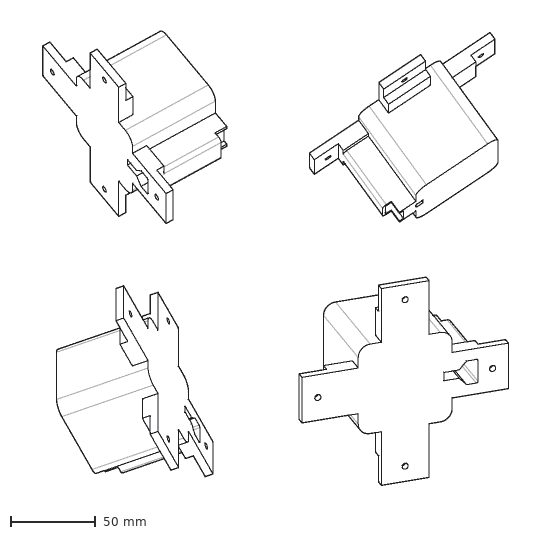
import cadquery as cq

span = 129.6
depth = 59.0
body_side = 59.0
body_corner_radius = 7.5

arm_width = 30.1
arm_thickness = 5.0
root_thickness = 2 * arm_thickness
root_reach = 47.5
hole_diameter = 3.8
hole_offset = 54.8

housing_wall = 2.0
housing_corner_radius = 2.6
chamber_corner_radius = 1.1
chamber_height = 15.5
chamber_right = root_reach - housing_wall
housing_height = 20.0
step_left = 41.3
step_depth = 50.7

slot_left = 24.2
slot_height = 5.5
flare_left = 33.8
chamber_left = 38.5

floor_left = 29.7
floor_hollow = 0.6
floor_step_left = 30.6
floor_front = step_depth
floor_step_height = 2.0


def block(left, right, height, front, back):
    """Box between two X and two Y positions, centred on Z = 0."""
    return (
        cq.Workplane("XY")
        .box(right - left, back - front, height, centered=(False, False, True))
        .translate((left, front, 0))
    )


def make_arms():
    """Cross of thin arms with thick roots."""
    arm = block(-span / 2, span / 2, arm_width, 0, arm_thickness)
    root = block(-root_reach, root_reach, arm_width, 0, root_thickness)
    bar = arm.union(root)
    return bar.union(bar.rotate((0, 0, 0), (0, 1, 0), 90))


def make_body():
    """Square body with rounded long edges."""
    half = body_side / 2
    return block(-half, half, body_side, 0, depth).edges("|Y").fillet(body_corner_radius)


def make_housing():
    """Rounded block on the right side, cut back at its rear outer end."""
    housing = block(0, root_reach, housing_height, root_thickness, depth)
    housing = housing.edges("|Y and >X").fillet(housing_corner_radius)
    return housing.cut(block(step_left, span / 2, arm_width, step_depth, depth))


def make_opening():
    """Keyhole cutter running through the full depth."""
    half_slot = slot_height / 2
    half_chamber = chamber_height / 2
    profile = [
        (slot_left, -half_slot),
        (flare_left, -half_slot),
        (chamber_left, -half_chamber),
        (chamber_right, -half_chamber),
        (chamber_right, half_chamber),
        (chamber_left, half_chamber),
        (flare_left, half_slot),
        (slot_left, half_slot),
    ]
    cutter = cq.Workplane("XZ").polyline(profile).close().extrude(-depth)
    return cutter.edges("|Y and >X").fillet(chamber_corner_radius)


def make_floor():
    """Rear floor of the flare; the slot end and the chamber stay open past it."""
    lower_front = floor_front + floor_step_height
    lower = block(slot_left, chamber_left, housing_height, lower_front, depth)
    half_slot = slot_height / 2
    end_left = floor_left - floor_hollow
    slot_end = (
        cq.Workplane("XZ")
        .moveTo(slot_left, -half_slot)
        .lineTo(end_left, -half_slot)
        .threePointArc((floor_left, 0), (end_left, half_slot))
        .lineTo(slot_left, half_slot)
        .close()
        .extrude(-depth)
    )
    upper = block(floor_step_left, chamber_left, housing_height, floor_front, depth)
    return lower.cut(slot_end).union(upper)


def make_mounting_holes():
    """One through hole near the end of each arm."""
    points = [(hole_offset, 0), (-hole_offset, 0), (0, hole_offset), (0, -hole_offset)]
    return cq.Workplane("XZ").pushPoints(points).circle(hole_diameter / 2).extrude(-arm_thickness)


opening = make_opening().cut(make_floor())
result = make_arms().union(make_body()).union(make_housing()).cut(opening).cut(make_mounting_holes())